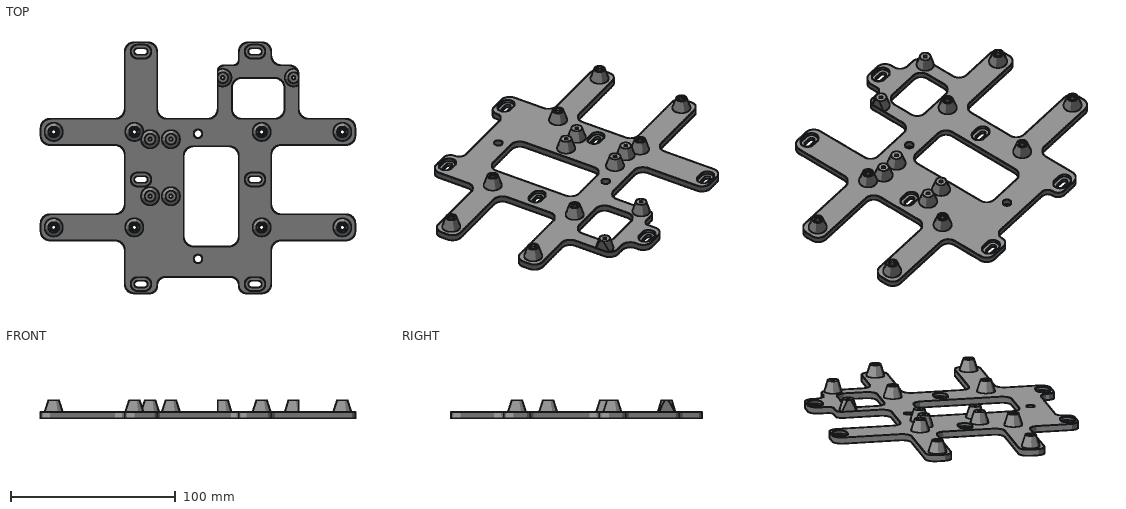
import cadquery as cq
import math

LENGTH = 191.0
DEPTH = 152.5
PLATE_THICKNESS = 4.0
BOSS_HEIGHT = 7.0

RAIL_SPACING = 69.1
RAIL_WIDTH = 19.9
RAIL_OUTER = (RAIL_SPACING + RAIL_WIDTH) / 2
RAIL_INNER = (RAIL_SPACING - RAIL_WIDTH) / 2

ARM_WIDTH = 16.0
UPPER_ARM_Y = 21.8
LOWER_ARM_Y = -36.1

FRAME_CENTER_X = 36.5
FRAME_WIDTH = 49.3
FRAME_TOP = 62.3
FRAME_OPENING_WIDTH = 31.7
FRAME_OPENING_TOP = 54.5

WEB_BOTTOM = -66.3

WINDOW_LEFT = -8.5
WINDOW_TOP = 13.0
WINDOW_BOTTOM = -47.5

CORNER_RADIUS = 6.0
FOOT_RADIUS = 4.8
FRAME_CORNER_RADIUS = 4.0
FRAME_NECK_RADIUS = 3.0

BEVEL = 0.2

BOSS_BASE_RADIUS = 5.5
FRAME_BOSS_BASE_RADIUS = 5.3
BOSS_TOP_RADIUS = 3.2
ARM_BOSS_OUTER_X = 87.5
ARM_BOSS_INNER_X = 38.5
ARM_BOSS_HOLE = 2.9
ARM_BOSS_HOLE_BEVEL = 0.8
BOARD_BOSS_HOLE = 2.0
BOARD_BOSS_X = (-29.0, -16.5)
BOARD_BOSS_Y = (17.4, -17.2)
FRAME_BOSS_SPACING = 43.0
FRAME_BOSS_Y = 54.6

SLOT_LENGTH = 8.0
SLOT_WIDTH = 3.8
RECESS_LENGTH = 12.2
RECESS_WIDTH = 8.2
RECESS_DEPTH = 2.0
SLOT_END_Y = 70.5
SLOT_MIDDLE_Y = -7.0

HOLE_DIAMETER = 5.0
HOLE_Y = (20.6, -55.2)


def rounded_outline(corners):
    """Closed wire through (x, y, radius) corners joined by straight edges and tangent arcs."""
    arcs = []
    for i, (x, y, radius) in enumerate(corners):
        corner = cq.Vector(x, y)
        to_previous = (cq.Vector(*corners[i - 1][:2]) - corner).normalized()
        to_next = (cq.Vector(*corners[(i + 1) % len(corners)][:2]) - corner).normalized()
        center = corner + (to_previous + to_next) * radius
        middle = center - (to_previous + to_next) * (radius / math.sqrt(2))
        arcs.append((corner + to_previous * radius, middle, corner + to_next * radius))

    outline = cq.Workplane("XY").moveTo(arcs[0][2].x, arcs[0][2].y)
    for start, middle, end in arcs[1:] + arcs[:1]:
        outline = outline.lineTo(start.x, start.y)
        outline = outline.threePointArc((middle.x, middle.y), (end.x, end.y))
    return outline.close()


def side_arm(side, y, upward):
    """Corners of one side arm (side -1 left, +1 right), listed in the direction of travel."""
    travel = 1 if upward else -1
    entry_y = y - travel * ARM_WIDTH / 2
    exit_y = y + travel * ARM_WIDTH / 2
    return [
        (side * RAIL_OUTER, entry_y, CORNER_RADIUS),
        (side * LENGTH / 2, entry_y, CORNER_RADIUS),
        (side * LENGTH / 2, exit_y, CORNER_RADIUS),
        (side * RAIL_OUTER, exit_y, CORNER_RADIUS),
    ]


def plate_outline():
    """Outer contour, clockwise from the lower end of the left rail."""
    top = DEPTH / 2
    arm_top = UPPER_ARM_Y + ARM_WIDTH / 2
    frame_left = FRAME_CENTER_X - FRAME_WIDTH / 2
    frame_right = FRAME_CENTER_X + FRAME_WIDTH / 2

    corners = [(-RAIL_OUTER, -top, CORNER_RADIUS)]
    corners += side_arm(-1, LOWER_ARM_Y, upward=True)
    corners += side_arm(-1, UPPER_ARM_Y, upward=True)
    corners += [
        (-RAIL_OUTER, top, CORNER_RADIUS),
        (-RAIL_INNER, top, CORNER_RADIUS),
        (-RAIL_INNER, arm_top, CORNER_RADIUS),
        (frame_left, arm_top, CORNER_RADIUS),
        (frame_left, FRAME_TOP, FRAME_CORNER_RADIUS),
        (RAIL_INNER, FRAME_TOP, FRAME_NECK_RADIUS),
        (RAIL_INNER, top, CORNER_RADIUS),
        (RAIL_OUTER, top, CORNER_RADIUS),
        (RAIL_OUTER, FRAME_TOP, CORNER_RADIUS),
        (frame_right, FRAME_TOP, CORNER_RADIUS),
        (frame_right, arm_top, CORNER_RADIUS),
    ]
    corners += side_arm(1, UPPER_ARM_Y, upward=False)[1:]
    corners += side_arm(1, LOWER_ARM_Y, upward=False)
    corners += [
        (RAIL_OUTER, -top, CORNER_RADIUS),
        (RAIL_INNER, -top, FOOT_RADIUS),
        (RAIL_INNER, WEB_BOTTOM, FOOT_RADIUS),
        (-RAIL_INNER, WEB_BOTTOM, FOOT_RADIUS),
        (-RAIL_INNER, -top, FOOT_RADIUS),
    ]
    return rounded_outline(corners)


def opening(left, right, bottom, top):
    """Cutter for a rectangular opening with rounded corners through the plate."""
    corners = [(left, bottom), (left, top), (right, top), (right, bottom)]
    return rounded_outline([(x, y, CORNER_RADIUS) for x, y in corners]).extrude(PLATE_THICKNESS)


def bosses(points, base_radius):
    """Tapered bosses standing on the plate."""
    profile = (
        cq.Workplane("XZ")
        .moveTo(0, PLATE_THICKNESS)
        .lineTo(base_radius, PLATE_THICKNESS)
        .lineTo(BOSS_TOP_RADIUS, PLATE_THICKNESS + BOSS_HEIGHT)
        .lineTo(0, PLATE_THICKNESS + BOSS_HEIGHT)
        .close()
    )
    boss = profile.revolve(360, (0, 0, 0), (0, 1, 0)).val()
    return cq.Workplane("XY").pushPoints(points).eachpoint(lambda place: boss.moved(place), combine=True)


def holes(points, diameter):
    """Cutter for round holes through the plate and any boss above it."""
    return cq.Workplane("XY").pushPoints(points).circle(diameter / 2).extrude(PLATE_THICKNESS + BOSS_HEIGHT)


def hole_bevels(points, diameter, depth):
    """Conical cutter that bevels the rim of round holes in the boss tops."""
    return (
        cq.Workplane("XY", origin=(0, 0, PLATE_THICKNESS + BOSS_HEIGHT))
        .pushPoints(points)
        .circle(diameter / 2 + depth)
        .extrude(-depth, taper=45)
    )


def recessed_slots(points):
    """Cutter for slots through the plate, each with a wider recess in the top face."""
    slots = cq.Workplane("XY").pushPoints(points).slot2D(SLOT_LENGTH, SLOT_WIDTH).extrude(PLATE_THICKNESS)
    recesses = (
        cq.Workplane("XY", origin=(0, 0, PLATE_THICKNESS - RECESS_DEPTH))
        .pushPoints(points)
        .slot2D(RECESS_LENGTH, RECESS_WIDTH)
        .extrude(RECESS_DEPTH)
    )
    return slots.union(recesses)


arm_boss_x = (-ARM_BOSS_OUTER_X, -ARM_BOSS_INNER_X, ARM_BOSS_INNER_X, ARM_BOSS_OUTER_X)
arm_boss_points = [(x, y) for x in arm_boss_x for y in (UPPER_ARM_Y, LOWER_ARM_Y)]
board_boss_points = [(x, y) for x in BOARD_BOSS_X for y in BOARD_BOSS_Y]
frame_boss_points = [(FRAME_CENTER_X + side * FRAME_BOSS_SPACING / 2, FRAME_BOSS_Y) for side in (-1, 1)]
slot_points = [
    (side * RAIL_SPACING / 2, y) for side in (-1, 1) for y in (SLOT_END_Y, SLOT_MIDDLE_Y, -SLOT_END_Y)
]
hole_points = [(0, y) for y in HOLE_Y]

half_opening = FRAME_OPENING_WIDTH / 2
plate = (
    plate_outline()
    .extrude(PLATE_THICKNESS)
    .cut(
        opening(
            FRAME_CENTER_X - half_opening,
            FRAME_CENTER_X + half_opening,
            UPPER_ARM_Y + ARM_WIDTH / 2,
            FRAME_OPENING_TOP,
        )
    )
    .cut(opening(WINDOW_LEFT, RAIL_INNER, WINDOW_BOTTOM, WINDOW_TOP))
    .cut(recessed_slots(slot_points))
    .cut(holes(hole_points, HOLE_DIAMETER))
)
plate = plate.faces(">Z").edges().chamfer(BEVEL)

boss_envelope = plate_outline().extrude(PLATE_THICKNESS + BOSS_HEIGHT)
frame_bosses = bosses(frame_boss_points, FRAME_BOSS_BASE_RADIUS).intersect(boss_envelope)
result = plate.union(bosses(arm_boss_points + board_boss_points, BOSS_BASE_RADIUS)).union(frame_bosses)

result = result.cut(holes(board_boss_points + frame_boss_points, BOARD_BOSS_HOLE))
result = result.cut(holes(arm_boss_points, ARM_BOSS_HOLE))
result = result.cut(hole_bevels(arm_boss_points, ARM_BOSS_HOLE, ARM_BOSS_HOLE_BEVEL))